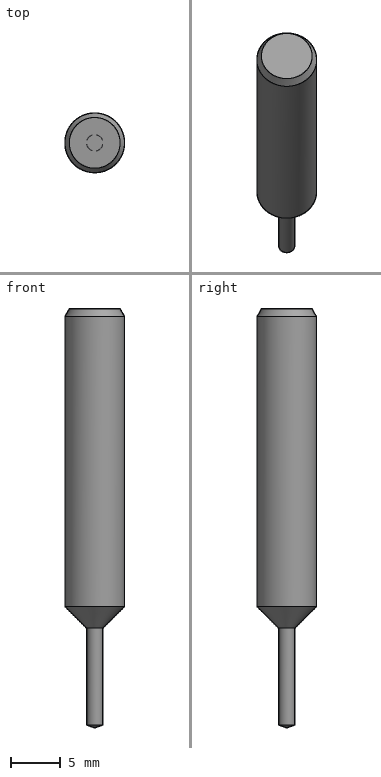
import cadquery as cq
import math

total_length = 42.0
shank_diameter = 6.0
tip_diameter = 1.65
joint_height = 10.0
top_chamfer_height = 0.8
top_chamfer_angle = 30.0
point_angle = 140.0

shank_radius = shank_diameter / 2
tip_radius = tip_diameter / 2
shoulder_top_height = joint_height + shank_radius - tip_radius
top_face_radius = shank_radius - top_chamfer_height * math.tan(math.radians(top_chamfer_angle))
point_height = tip_radius / math.tan(math.radians(point_angle / 2))


def revolve_profile(points):
    """Revolve a closed (radius, height) outline a full turn about the Z axis."""
    return cq.Workplane("XZ").polyline(points).close().revolve(360, (0, 0), (0, 1))


def make_shank():
    """Chamfered round shank with a shoulder cone tapering down to the cutting tip."""
    return revolve_profile([
        (0, joint_height),
        (tip_radius, joint_height),
        (shank_radius, shoulder_top_height),
        (shank_radius, total_length - top_chamfer_height),
        (top_face_radius, total_length),
        (0, total_length),
    ])


def make_cutting_tip():
    """Slender cylinder with a shallow conical point."""
    return revolve_profile([
        (0, 0),
        (tip_radius, point_height),
        (tip_radius, joint_height),
        (0, joint_height),
    ])


shank = make_shank()
cutting_tip = make_cutting_tip()

result = cq.Compound.makeCompound([shank.val(), cutting_tip.val()])